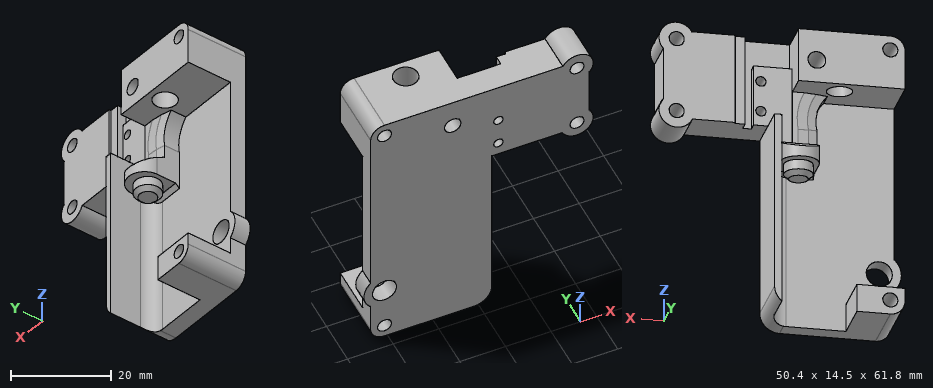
import cadquery as cq
import math

total_height = 61.8
depth = 14.5
arm_depth = 8.5
floor_depth = 3.9

body_height = 60.0
leg_width = 26.6
arm_end = 47.95
arm_height = 18.85
arm_bottom = body_height - arm_height
corner_radius = 3.0
leg_corner_radius = 4.0

ear_radius = 3.6
ear_x = 45.25
upper_ear_z = total_height - ear_radius
lower_ear_z = upper_ear_z - 15.5
pivot_radius = 4.5
pivot_x = 3.0
pivot_z = 13.0
pivot_hole_diameter = 5.25

screw_hole_diameter = 3.0
screw_inset = 3.0
block_hole_diameter = 3.6
block_hole_x = 18.0
block_hole_z = body_height - 6.5
switch_hole_diameter = 2.05
switch_hole_x = 28.0
switch_hole_z = (body_height - 15.75, body_height - 9.35)

block_width = 21.7
block_height = 11.25
block_bottom = body_height - block_height
guide_hole_diameter = 5.25
guide_hole_x = 12.55
guide_hole_y = 10.55

side_wall = 1.5
pocket_right = leg_width - side_wall
foot_width = 9.8
foot_height = 5.8
pocket_fillet = 3.1

post_radius = 4.0
post_x = 20.5
post_y = 9.5
post_left = post_x - post_radius
post_bottom = body_height - 27.0
post_slope_bottom = body_height - 24.8
post_slope_top = body_height - 21.8
post_toe_size = 0.9
web_arc_radius = 8.3
web_arc_z = arm_bottom + 1.85
web_arc_x = post_left - math.sqrt(web_arc_radius**2 - (web_arc_z - arm_bottom) ** 2)
web_depth = 7.6
web_crease_depth = 8.2
web_crease_run = 1.85
web_rim_run = 4.0

peg_radius = 2.95
peg_y = 8.7
peg_length = 3.0
peg_chamfer = 1.0

recess_depth = 8.05
recess_right = 33.3
slot_left = 29.5
slot_right = 31.2
slot_depth = 5.9
notch_height = 6.1


def box(x0, x1, y0, y1, z0, z1):
    return cq.Workplane("XY").box(x1 - x0, y1 - y0, z1 - z0, centered=False).translate((x0, y0, z0))


def rod_along_y(x, z, diameter, length):
    return cq.Workplane("XZ").center(x, z).circle(diameter / 2).extrude(-length)


def make_body():
    leg = box(0, leg_width, 0, depth, 0, body_height)
    leg = leg.edges("|Y and <X").fillet(corner_radius)
    leg = leg.edges("|Y and >X and <Z").fillet(leg_corner_radius)
    above_arm = box(block_width, leg_width, arm_depth, depth, arm_bottom, body_height)
    arm = box(block_width, arm_end, 0, arm_depth, arm_bottom, body_height)
    body = leg.cut(above_arm).union(arm)
    for ear_z in (lower_ear_z, upper_ear_z):
        body = body.union(rod_along_y(ear_x, ear_z, 2 * ear_radius, arm_depth))
    return body


def make_pocket():
    pocket = box(-pivot_radius, pocket_right, floor_depth, depth, foot_height, block_bottom)
    pocket = pocket.union(box(foot_width, pocket_right, floor_depth, depth, 0, block_bottom))
    return pocket.edges("|Z and >X and <Y").fillet(pocket_fillet)


def web_cutter_profile(edge):
    """Section left of the web: a straight wall at `edge`, then two shallow slopes flaring to the back."""
    return (
        cq.Workplane("XY")
        .lineTo(edge, 0)
        .lineTo(edge, web_depth)
        .lineTo(edge + web_crease_run, web_crease_depth)
        .lineTo(edge + web_rim_run, arm_depth)
        .lineTo(0, arm_depth)
        .close()
    )


def make_web():
    """Web between block and post, hollowed on its left by a round clearance above a flat wall."""
    web = box(web_arc_x, pocket_right, floor_depth, arm_depth, post_bottom, block_bottom)
    round_clearance = web_cutter_profile(web_arc_radius).revolve(360, (0, 0, 0), (0, 1, 0))
    flat_clearance = web_cutter_profile(post_left).extrude(arm_bottom)
    web = web.cut(round_clearance.translate((web_arc_x, 0, web_arc_z)))
    web = web.cut(flat_clearance)
    return web.cut(box(block_width, pocket_right, recess_depth, arm_depth, post_bottom, block_bottom))


def make_post():
    """Post with a rounded back and a top that slopes down towards the back."""
    post = (
        cq.Workplane("XY", origin=(0, 0, post_bottom))
        .moveTo(post_left, floor_depth)
        .lineTo(post_left, post_y)
        .threePointArc((post_x, post_y + post_radius), (post_x + post_radius, post_y))
        .lineTo(post_x + post_radius, floor_depth)
        .close()
        .extrude(post_slope_top - post_bottom)
    )
    above_slope = (
        cq.Workplane("YZ")
        .moveTo(web_depth, post_slope_top)
        .lineTo(post_y + post_radius, post_slope_bottom)
        .lineTo(depth, post_slope_bottom)
        .lineTo(depth, post_slope_top)
        .close()
        .extrude(leg_width)
    )
    return post.cut(above_slope)


def make_post_toe():
    """Small gusset under the post where it meets the pocket floor."""
    return (
        cq.Workplane("YZ", origin=(post_left, 0, 0))
        .moveTo(floor_depth, post_bottom)
        .lineTo(floor_depth + post_toe_size, post_bottom)
        .lineTo(floor_depth, post_bottom - post_toe_size)
        .close()
        .extrude(2 * post_radius)
    )


def make_peg():
    peg = cq.Workplane("XY", origin=(post_x, peg_y, post_bottom)).circle(peg_radius).extrude(-peg_length)
    return peg.faces("<Z").chamfer(peg_chamfer)


def make_switch_recess():
    recess = box(block_width, recess_right, recess_depth, arm_depth, arm_bottom, body_height)
    slot = box(slot_left, slot_right, slot_depth, arm_depth, arm_bottom, body_height)
    notch = box(block_width, slot_right, slot_depth, arm_depth, body_height - notch_height, body_height)
    return recess.union(slot).union(notch)


def make_holes():
    holes = rod_along_y(pivot_x, pivot_z, pivot_hole_diameter, depth)
    holes = holes.union(rod_along_y(block_hole_x, block_hole_z, block_hole_diameter, depth))
    screw_places = (
        (screw_inset, screw_inset),
        (screw_inset, body_height - screw_inset),
        (ear_x, lower_ear_z),
        (ear_x, upper_ear_z),
    )
    for x, z in screw_places:
        holes = holes.union(rod_along_y(x, z, screw_hole_diameter, depth))
    for z in switch_hole_z:
        holes = holes.union(rod_along_y(switch_hole_x, z, switch_hole_diameter, depth))
    guide_hole = (
        cq.Workplane("XY", origin=(guide_hole_x, guide_hole_y, block_bottom))
        .circle(guide_hole_diameter / 2)
        .extrude(block_height)
    )
    return holes.union(guide_hole)


result = (
    make_body()
    .cut(make_pocket())
    .union(make_web())
    .union(make_post())
    .union(make_post_toe())
    .union(make_peg())
    .union(rod_along_y(pivot_x, pivot_z, 2 * pivot_radius, floor_depth))
    .cut(make_switch_recess())
    .cut(make_holes())
)